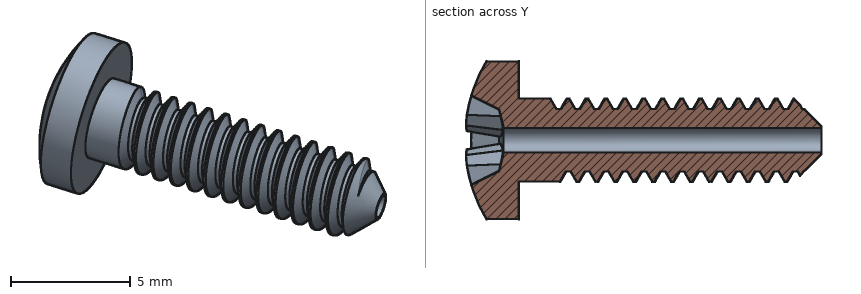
import math

import cadquery as cq

HEAD_DIAMETER = 6.65
HEAD_BAND_LENGTH = 1.37
DOME_HEIGHT = 0.92

SHANK_DIAMETER = 3.51
SHANK_LENGTH = 12.7
TIP_DIAMETER = 1.16
BORE_DIAMETER = 1.0

THREAD_PITCH = 25.4 / 32
FLANK_HALF_ANGLE = math.radians(30)
THREAD_DEPTH = 0.44
CREST_WIDTH = THREAD_PITCH / 8
THREAD_START_X = 1.57
THREAD_START_ANGLE = 45.0
LEAD_IN_ANGLE = 90.0
CUTTER_OVERHANG = 0.04

WING_HALF_WIDTH = 0.40
WING_FLAT_START = 1.07
INNER_CORNER = 0.63
WING_SIDE_TAPER = math.radians(9.5)
WING_END_TAPER = math.radians(26.5)
WING_END_MOUTH = 2.01
FLOOR_EDGE_DEPTH = 1.45
FLOOR_SLOPE = math.radians(14)

HEAD_RADIUS = HEAD_DIAMETER / 2
SHANK_RADIUS = SHANK_DIAMETER / 2
TIP_RADIUS = TIP_DIAMETER / 2
BORE_RADIUS = BORE_DIAMETER / 2
ROOT_RADIUS = SHANK_RADIUS - THREAD_DEPTH
APEX_X = -(HEAD_BAND_LENGTH + DOME_HEIGHT)

X_DIRECTION = cq.Vector(1, 0, 0)
ORIGIN = cq.Vector(0, 0, 0)


def screw_blank():
    """Head, plain shank and tapered tip as one revolved profile."""
    dome_radius = (HEAD_RADIUS**2 + DOME_HEIGHT**2) / (2 * DOME_HEIGHT)
    mid_radius = HEAD_RADIUS / 2
    mid_x = APEX_X + dome_radius - math.sqrt(dome_radius**2 - mid_radius**2)
    taper_start_x = SHANK_LENGTH - (SHANK_RADIUS - TIP_RADIUS)
    return (
        cq.Workplane("XY")
        .moveTo(APEX_X, 0)
        .threePointArc((mid_x, mid_radius), (-HEAD_BAND_LENGTH, HEAD_RADIUS))
        .lineTo(0, HEAD_RADIUS)
        .lineTo(0, SHANK_RADIUS)
        .lineTo(taper_start_x, SHANK_RADIUS)
        .lineTo(SHANK_LENGTH, TIP_RADIUS)
        .lineTo(SHANK_LENGTH, 0)
        .close()
        .revolve(360, (0, 0, 0), (1, 0, 0))
    )


def cross_outline(inset):
    """(Y, Z) corners of the recess cross with every side moved inwards by inset."""
    slant = math.atan2(INNER_CORNER - WING_HALF_WIDTH, WING_FLAT_START - INNER_CORNER)
    half_width = WING_HALF_WIDTH - inset
    flat_start = WING_FLAT_START - inset * math.tan(slant / 2)
    inner_corner = INNER_CORNER - inset / (math.sin(slant) + math.cos(slant))
    wing = [
        (flat_start, -half_width),
        (WING_END_MOUTH, -half_width),
        (WING_END_MOUTH, half_width),
        (flat_start, half_width),
        (inner_corner, inner_corner),
    ]
    corners = []
    for _ in range(4):
        corners += wing
        wing = [(-z, y) for y, z in wing]
    return corners


def cross_recess():
    """Cutter for the recess: tapered cross, limited by its wing ends and floor."""
    floor_edge_radius = WING_END_MOUTH - FLOOR_EDGE_DEPTH * math.tan(WING_END_TAPER)
    full_depth = FLOOR_EDGE_DEPTH + floor_edge_radius * math.tan(FLOOR_SLOPE)
    mouth_plane = cq.Workplane("YZ", origin=(APEX_X, 0, 0))
    cross = (
        mouth_plane.polyline(cross_outline(0))
        .close()
        .workplane(offset=full_depth)
        .polyline(cross_outline(full_depth * math.tan(WING_SIDE_TAPER)))
        .close()
        .loft(ruled=True)
    )
    wing_ends = mouth_plane.rect(2 * WING_END_MOUTH, 2 * WING_END_MOUTH).extrude(
        full_depth, taper=math.degrees(WING_END_TAPER)
    )
    floor_tip_x = APEX_X + full_depth
    limit_radius = 2 * WING_END_MOUTH
    floor_limit = (
        cq.Workplane("XY")
        .moveTo(APEX_X - limit_radius, 0)
        .lineTo(floor_tip_x, 0)
        .lineTo(floor_tip_x - limit_radius * math.tan(FLOOR_SLOPE), limit_radius)
        .lineTo(APEX_X - limit_radius, limit_radius)
        .close()
        .revolve(360, (0, 0, 0), (1, 0, 0))
    )
    return cross.intersect(wing_ends).intersect(floor_limit)


def groove_section(radial_shift):
    """(X offset, radius) corners of the groove cutter, moved outwards by radial_shift."""
    outer_radius = SHANK_RADIUS + CUTTER_OVERHANG
    outer_half_width = (THREAD_PITCH - CREST_WIDTH) / 2 + CUTTER_OVERHANG * math.tan(FLANK_HALF_ANGLE)
    root_half_width = outer_half_width - (outer_radius - ROOT_RADIUS) * math.tan(FLANK_HALF_ANGLE)
    return [
        (-root_half_width, ROOT_RADIUS + radial_shift),
        (root_half_width, ROOT_RADIUS + radial_shift),
        (outer_half_width, outer_radius + radial_shift),
        (-outer_half_width, outer_radius + radial_shift),
    ]


def spiral(start_x, start_radius, end_radius, start_angle, length):
    """Right-handed spiral edge about X whose radius changes evenly along its length."""
    turns = length / THREAD_PITCH
    if start_radius == end_radius:
        wire = cq.Wire.makeHelix(THREAD_PITCH, length, start_radius)
    else:
        slant = math.hypot(length, end_radius - start_radius)
        cone_angle = math.degrees(math.atan2(end_radius - start_radius, length))
        wire = cq.Wire.makeHelix(slant / turns, slant, start_radius, angle=cone_angle)
    wire = wire.rotate(ORIGIN, cq.Vector(1, 1, 1), 120)
    wire = wire.rotate(ORIGIN, X_DIRECTION, start_angle)
    return wire.translate(cq.Vector(start_x, 0, 0)).Edges()[0]


def groove_cutter(start_x, start_angle, length, start_shift):
    """Solid swept by the groove section as it sinks from start_shift to full depth."""
    edges = [
        spiral(start_x + x, radius, full_radius, start_angle, length)
        for (x, radius), (_, full_radius) in zip(groove_section(start_shift), groove_section(0))
    ]
    faces = [
        cq.Face.makeRuledSurface(edge, next_edge)
        for edge, next_edge in zip(edges, edges[1:] + edges[:1])
    ]
    for end in (0, 1):
        corners = [edge.positionAt(end) for edge in edges]
        faces.append(cq.Face.makeFromWires(cq.Wire.makePolygon(corners, close=True)))
    return cq.Solid.makeSolid(cq.Shell.makeShell(faces)).fix()


def thread_lead_in():
    """Cutter that sinks gradually into the shank ahead of the full groove."""
    length = THREAD_PITCH * LEAD_IN_ANGLE / 360
    return groove_cutter(
        THREAD_START_X - length, THREAD_START_ANGLE - LEAD_IN_ANGLE, length, THREAD_DEPTH
    )


def thread_turns():
    """Full-depth groove cutters of one turn each, following on to the end of the tip."""
    turn_count = math.ceil((SHANK_LENGTH - THREAD_START_X) / THREAD_PITCH)
    return [
        groove_cutter(THREAD_START_X + turn * THREAD_PITCH, THREAD_START_ANGLE, THREAD_PITCH, 0)
        for turn in range(turn_count)
    ]


def bore():
    """Cutter for the hole along the whole screw axis."""
    return cq.Workplane("YZ", origin=(APEX_X, 0, 0)).circle(BORE_RADIUS).extrude(SHANK_LENGTH - APEX_X)


result = screw_blank()
for cutter in [thread_lead_in(), *thread_turns()]:
    result = result.cut(cq.Workplane(cutter))
result = result.cut(cross_recess()).cut(bore())